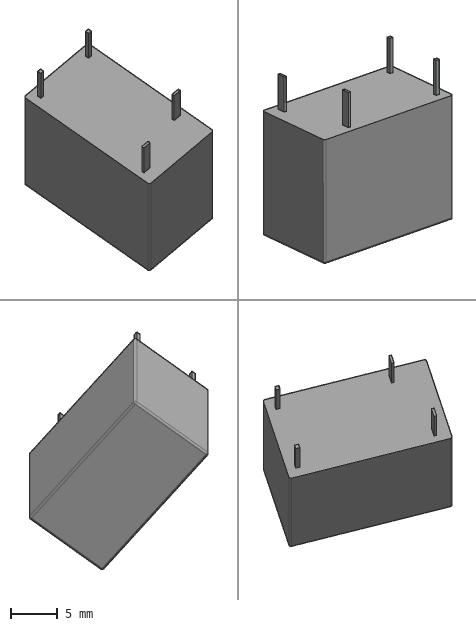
import cadquery as cq

length = 18.2
width = 10.2
total_height = 18.7
pin_height = 4.11
case_height = total_height - pin_height
edge_radius = 0.25

row_spacing = 7.6
row_y = row_spacing / 2
coil_pin_x = -7.85
coil_pin_side = 0.45
contact_pitch = 2.55
rear_contact_x = 4.86
front_contact_x = rear_contact_x + contact_pitch
contact_thickness = 0.3
contact_width = 1.0


def make_case():
    block = cq.Workplane("XY").box(length, width, case_height, centered=(True, True, False))
    return block.edges("|Z or <Z").fillet(edge_radius)


def make_pin(x, y, size_x, size_y):
    return (
        cq.Workplane("XY", origin=(x, y, case_height))
        .rect(size_x, size_y)
        .extrude(pin_height)
    )


result = make_case()

for y in (-row_y, row_y):
    result = result.union(make_pin(coil_pin_x, y, coil_pin_side, coil_pin_side))

for x, y in ((rear_contact_x, row_y), (front_contact_x, -row_y)):
    result = result.union(make_pin(x, y, contact_thickness, contact_width))